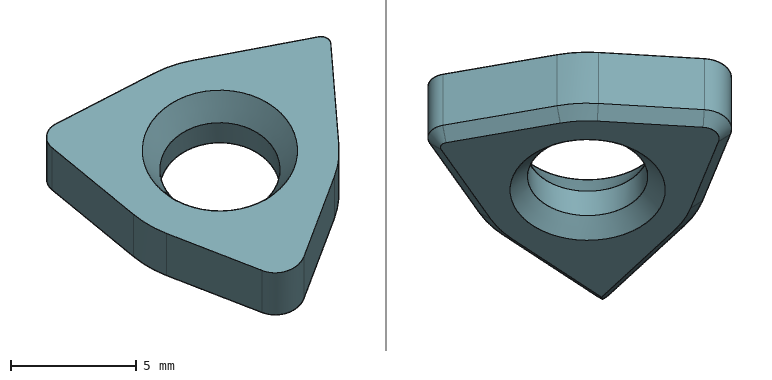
import cadquery as cq
import math

inscribed_radius = 9.525 / 2
thickness = 3.18
corner_angle = 80.0
corner_spacing = 120.0
first_corner_direction = 100.0
nose_radii = [0.4, 0.8, 1.2]

edge_chamfer = 0.5
chamfer_angle = 45.0

bore_radius = 4.8 / 2
mouth_radius = 6.2 / 2
top_countersink_depth = 1.2
bottom_countersink_depth = mouth_radius - bore_radius

half_normal_angle = (180.0 - corner_angle) / 2
half_blend_angle = corner_spacing / 2 - half_normal_angle


def polar(radius, angle):
    """Point at the given distance and direction (degrees) from the origin."""
    return (radius * math.cos(math.radians(angle)), radius * math.sin(math.radians(angle)))


def nose_point(corner_direction, nose_radius, angle):
    """Point of a corner's nose arc lying in the given direction from the arc centre."""
    centre_distance = (inscribed_radius - nose_radius) / math.cos(math.radians(half_normal_angle))
    centre_x, centre_y = polar(centre_distance, corner_direction)
    offset_x, offset_y = polar(nose_radius, angle)
    return (centre_x + offset_x, centre_y + offset_y)


def trigon_outline(radii, height):
    """Closed outline at a height: three corners joined by arcs of the inscribed circle.

    A nose radius of zero gives a sharp corner.
    """
    start = polar(inscribed_radius, first_corner_direction - half_normal_angle)
    outline = cq.Workplane("XY", origin=(0, 0, height)).moveTo(*start)
    for index, radius in enumerate(radii):
        direction = first_corner_direction + index * corner_spacing
        normal_in = direction - half_normal_angle
        normal_out = direction + half_normal_angle
        blend_middle = normal_out + half_blend_angle
        blend_end = blend_middle + half_blend_angle

        outline = outline.lineTo(*nose_point(direction, radius, normal_in))
        if radius > 0:
            outline = outline.threePointArc(
                nose_point(direction, radius, direction),
                nose_point(direction, radius, normal_out),
            )
        outline = outline.lineTo(*polar(inscribed_radius, normal_out))
        outline = outline.threePointArc(
            polar(inscribed_radius, blend_middle),
            polar(inscribed_radius, blend_end),
        )
    return outline.close()


def chamfered_base():
    """Bottom layer of the plate, tapering inward toward Z = 0.

    On a nose tighter than the chamfer the two edge chamfers run on to meet in
    a sharp edge, which the rounded wall then trims.
    """
    taper_radii = [radius if radius > edge_chamfer else 0 for radius in nose_radii]
    taper = trigon_outline(taper_radii, edge_chamfer).extrude(-edge_chamfer, taper=chamfer_angle)
    wall = trigon_outline(nose_radii, 0).extrude(edge_chamfer)
    return taper.intersect(wall)


def plate():
    """Straight-walled plate standing on its chamfered base."""
    straight = trigon_outline(nose_radii, edge_chamfer).extrude(thickness - edge_chamfer)
    return straight.union(chamfered_base())


def hole():
    """Through bore with a conical countersink at each end."""
    return (
        cq.Workplane("XZ")
        .lineTo(mouth_radius, 0)
        .lineTo(bore_radius, bottom_countersink_depth)
        .lineTo(bore_radius, thickness - top_countersink_depth)
        .lineTo(mouth_radius, thickness)
        .lineTo(0, thickness)
        .close()
        .revolve(360, (0, 0), (0, 1))
    )


result = plate().cut(hole())